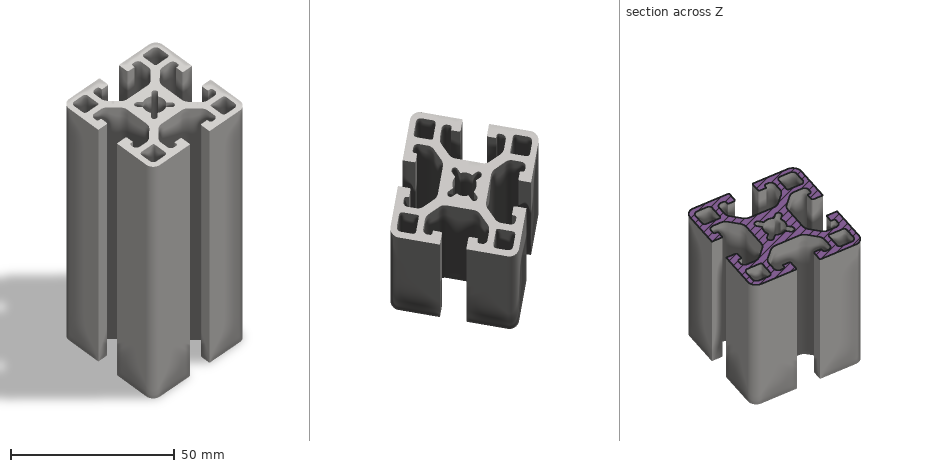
import cadquery as cq
import math

side = 40.0
length = 100.0
half_side = side / 2
corner_radius = 3.0

opening_width = 8.2
lip_depth = 4.0
lip_edge_radius = 0.5
chamber_half_width = 10.0
floor_height = 7.5
rib_offset = 2.0
flank_radius = 3.0

undercut_width = 3.0
undercut_depth = 1.5
undercut_wall_radius = 1.5
undercut_lip_radius = 0.7

hollow_start = 12.0
hollow_end = 18.1
hollow_outer_radius = 1.5
hollow_side_radius = 1.0
hollow_inner_radius = 0.5

bore_radius = 3.7
lobe_width = 2.0
lobe_reach = 4.7

lip_height = half_side - lip_depth


def box(x_min, x_max, y_min, y_max):
    """Full-length block between the given X and Y limits."""
    block = cq.Workplane("XY").box(x_max - x_min, y_max - y_min, length, centered=False)
    return block.translate((x_min, y_min, 0))


def at_quarter_turns(shape):
    """Four copies of a shape, turned about the profile axis."""
    copies = shape
    for angle in (90, 180, 270):
        copies = copies.union(shape.rotate((0, 0, 0), (0, 0, 1), angle))
    return copies


def make_slot():
    """Slot on the +Y face: flanked chamber, opening and two undercuts."""
    floor_half_width = floor_height - rib_offset
    flank_top = chamber_half_width + rib_offset
    chamber = (
        cq.Workplane("XY")
        .moveTo(-floor_half_width, floor_height)
        .lineTo(floor_half_width, floor_height)
        .lineTo(chamber_half_width, flank_top)
        .lineTo(chamber_half_width, lip_height)
        .lineTo(-chamber_half_width, lip_height)
        .lineTo(-chamber_half_width, flank_top)
        .close()
        .extrude(length)
    )
    chamber = chamber.edges("|Z").edges("not >Y").fillet(flank_radius)

    half_opening = opening_width / 2
    slot = chamber.union(box(-half_opening, half_opening, floor_height, half_side))
    for x in (-half_opening, half_opening):
        lip_edge = cq.selectors.NearestToPointSelector((x, lip_height, length / 2))
        slot = slot.edges("|Z").edges(lip_edge).fillet(lip_edge_radius)

    undercut = box(
        chamber_half_width - undercut_width,
        chamber_half_width,
        flank_top + flank_radius,
        lip_height + undercut_depth,
    )
    undercut = undercut.edges("|Z and >Y and >X").fillet(undercut_wall_radius)
    undercut = undercut.edges("|Z and >Y and <X").fillet(undercut_lip_radius)
    return slot.union(undercut).union(undercut.mirror("YZ"))


def make_corner_hollow():
    """Rounded square hollow in the +X +Y corner."""
    hollow = box(hollow_start, hollow_end, hollow_start, hollow_end)
    hollow = hollow.edges("|Z and >X and >Y").fillet(hollow_outer_radius)
    hollow = hollow.edges("|Z and <X and <Y").fillet(hollow_inner_radius)
    for x, y in ((hollow_start, hollow_end), (hollow_end, hollow_start)):
        side_edge = cq.selectors.NearestToPointSelector((x, y, length / 2))
        hollow = hollow.edges("|Z").edges(side_edge).fillet(hollow_side_radius)
    return hollow


def make_bore():
    """Round bore joined with two crossing diagonal slots with round ends."""
    lobe_radius = lobe_width / 2
    end_centre_distance = math.sqrt(2) * (lobe_reach - lobe_radius)
    arm_length = 2 * (end_centre_distance + lobe_radius)
    bore = cq.Workplane("XY").circle(bore_radius).extrude(length)
    for angle in (45, 135):
        arm = cq.Workplane("XY").slot2D(arm_length, lobe_width, angle).extrude(length)
        bore = bore.union(arm)
    return bore


profile = box(-half_side, half_side, -half_side, half_side).edges("|Z").fillet(corner_radius)
profile = profile.cut(at_quarter_turns(make_slot()))
profile = profile.cut(at_quarter_turns(make_corner_hollow()))
result = profile.cut(make_bore())